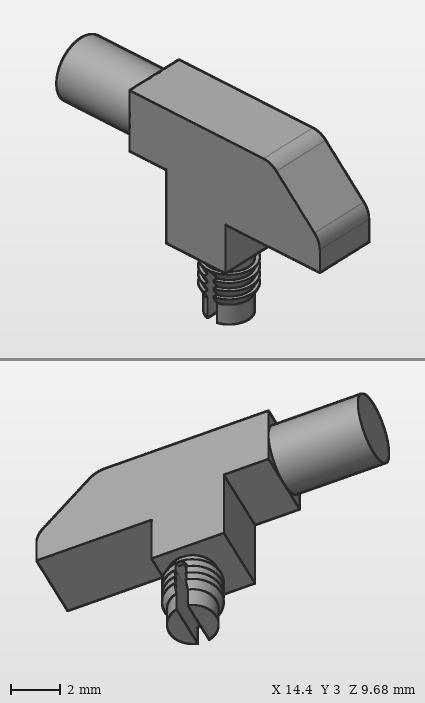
import cadquery as cq

length = 14.4
width = 3.0
height = 9.68

body_start = 4.0
shoulder_depth = width
arm_depth = 4.2
stem_depth = 6.6
stem_left = 6.0
stem_right = 9.25
nose_chamfer = 2.66
nose_radius = 1.0

pin_x = 8.1
pin_radius = 2.1 / 2
barb_radius = 2.52 / 2
barb_count = 4
barb_pitch = 0.4
barbs_top = height - 7.08
slot_width = 0.5
slot_top = height - 7.1


def make_body():
    """L-shaped block with a sloped, rounded nose."""
    stem_bottom = height - stem_depth
    outline = [
        (body_start, height),
        (length - nose_chamfer, height),
        (length, height - nose_chamfer),
        (length, height - arm_depth),
        (stem_right, height - arm_depth),
        (stem_right, stem_bottom),
        (stem_left, stem_bottom),
        (stem_left, height - shoulder_depth),
        (body_start, height - shoulder_depth),
    ]
    block = cq.Workplane("XZ").polyline(outline).close().extrude(width / 2, both=True)
    for x, z in outline[1:3]:
        block = block.edges(cq.selectors.NearestToPointSelector((x, 0, z))).fillet(nose_radius)
    return block


def make_cable():
    """Round cable entering the body along X."""
    return (
        cq.Workplane("YZ")
        .center(0, height - width / 2)
        .circle(width / 2)
        .extrude(body_start)
    )


def make_pin():
    """Revolved pin with flat-topped conical barbs, split by a round-ended slot."""
    profile = [(0, height - stem_depth), (pin_radius, height - stem_depth)]
    for i in range(barb_count):
        barb_top = barbs_top - i * barb_pitch
        profile.append((pin_radius, barb_top))
        profile.append((barb_radius, barb_top))
    profile.append((pin_radius, barbs_top - barb_count * barb_pitch))
    profile += [(pin_radius, 0), (0, 0)]
    pin = (
        cq.Workplane("XZ")
        .polyline(profile)
        .close()
        .revolve(360, (0, 0, 0), (0, 1, 0))
    )
    half_slot = slot_width / 2
    slot = (
        cq.Workplane("XZ")
        .moveTo(-half_slot, 0)
        .lineTo(-half_slot, slot_top - half_slot)
        .threePointArc((0, slot_top), (half_slot, slot_top - half_slot))
        .lineTo(half_slot, 0)
        .close()
        .extrude(width / 2, both=True)
    )
    return pin.cut(slot).translate((pin_x, 0, 0))


result = make_body().union(make_cable()).union(make_pin())